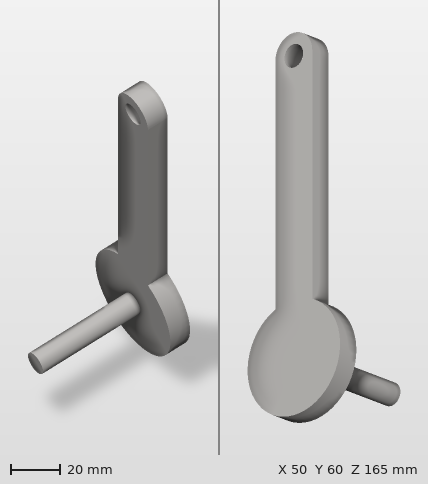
import cadquery as cq

overall_height = 165.0
overall_depth = 60.0
disc_diameter = 50.0
arm_width = 20.0
plate_thickness = 10.0
hole_diameter = 10.0
pin_diameter = 10.0

arm_length = overall_height - disc_diameter / 2 - arm_width / 2
pin_length = overall_depth - plate_thickness


def cylinder_along_y(diameter, start_y, length, center_z=0):
    """Cylinder running from start_y toward +Y."""
    return (
        cq.Workplane("XZ", origin=(0, start_y, center_z))
        .circle(diameter / 2)
        .extrude(-length)
    )


def make_arm():
    """Straight arm from the disc centre up to its rounded end."""
    bar = cq.Workplane("XY").box(
        arm_width, plate_thickness, arm_length, centered=(True, False, False)
    )
    return bar.union(cylinder_along_y(arm_width, 0, plate_thickness, arm_length))


disc = cylinder_along_y(disc_diameter, 0, plate_thickness)
pin = cylinder_along_y(pin_diameter, -pin_length, pin_length)
end_hole = cylinder_along_y(hole_diameter, 0, plate_thickness, arm_length)

result = disc.union(make_arm()).cut(end_hole).union(pin)